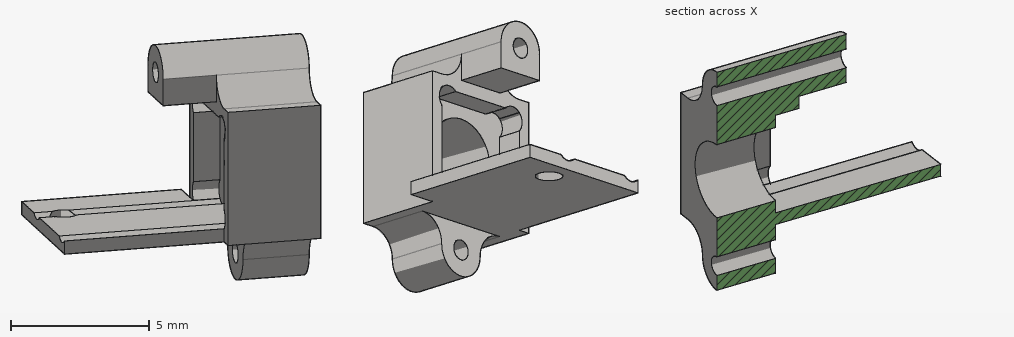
import cadquery as cq

total_length = 9.5
total_width = 6.1
total_height = 9.0
body_side = 5.0
body_depth = 3.5
bore_diameter = 3.0

pocket_side = 4.0
pocket_depth = 1.0
relief_diameter = 1.0
relief_offset = 1.64

ear_radius = (total_height - body_side) / 4
ear_hole_diameter = 0.75
ear_depth = 2.5
upper_ear_length = 5.5

plate_hole_diameter = 1.0
plate_hole_side_inset = 2.0
plate_hole_front_inset = 1.0

half_side = body_side / 2
ear_center = half_side + ear_radius
plate_left = half_side - total_width
plate_right = pocket_side / 2
plate_thickness = (body_side - pocket_side) / 2
pocket_floor = body_depth - pocket_depth


def section(start=0):
    """XZ sketch plane whose extrusions run forward (-Y), starting at the given depth."""
    return cq.Workplane("XZ", origin=(0, -start, 0))


def flared_ear(depth):
    """Upper ear: a round tip blending into the body through concave quarter arcs."""
    diagonal = ear_radius / 2**0.5
    flare_x = 2 * ear_radius
    return (
        section()
        .moveTo(-flare_x, half_side)
        .threePointArc((-flare_x + diagonal, ear_center - diagonal), (-ear_radius, ear_center))
        .threePointArc((0, ear_center + ear_radius), (ear_radius, ear_center))
        .threePointArc((flare_x - diagonal, ear_center - diagonal), (flare_x, half_side))
        .close()
        .extrude(depth)
    )


def upper_ear_nose():
    """Straight-sided, round-topped extension of the upper ear."""
    return (
        section(ear_depth)
        .moveTo(-ear_radius, half_side)
        .lineTo(-ear_radius, ear_center)
        .threePointArc((0, ear_center + ear_radius), (ear_radius, ear_center))
        .lineTo(ear_radius, half_side)
        .close()
        .extrude(upper_ear_length - ear_depth)
    )


def plate():
    return cq.Workplane("XY").box(
        plate_right - plate_left,
        total_length - body_depth,
        plate_thickness,
        centered=False,
    ).translate((plate_left, -total_length, -half_side))


def pocket():
    """Square pocket; its corner reliefs run on forward and groove the plate."""
    square = section(pocket_floor).rect(pocket_side, pocket_side).extrude(pocket_depth)
    reliefs = (
        section(pocket_floor)
        .rect(2 * relief_offset, 2 * relief_offset, forConstruction=True)
        .vertices()
        .circle(relief_diameter / 2)
        .extrude(total_length - pocket_floor)
    )
    return square, reliefs


body = section().rect(body_side, body_side).extrude(body_depth)
lower_ear = flared_ear(ear_depth).mirror("XY")
pocket_square, corner_reliefs = pocket()
body = body.cut(pocket_square).union(plate()).cut(corner_reliefs)
body = body.union(flared_ear(body_depth)).union(upper_ear_nose()).union(lower_ear)

bore = section().circle(bore_diameter / 2).extrude(body_depth)
ear_holes = (
    section()
    .pushPoints([(0, ear_center), (0, -ear_center)])
    .circle(ear_hole_diameter / 2)
    .extrude(upper_ear_length)
)
plate_hole = (
    cq.Workplane("XY", origin=(0, 0, -half_side))
    .center(plate_left + plate_hole_side_inset, plate_hole_front_inset - total_length)
    .circle(plate_hole_diameter / 2)
    .extrude(plate_thickness)
)

result = body.cut(bore).cut(ear_holes).cut(plate_hole)